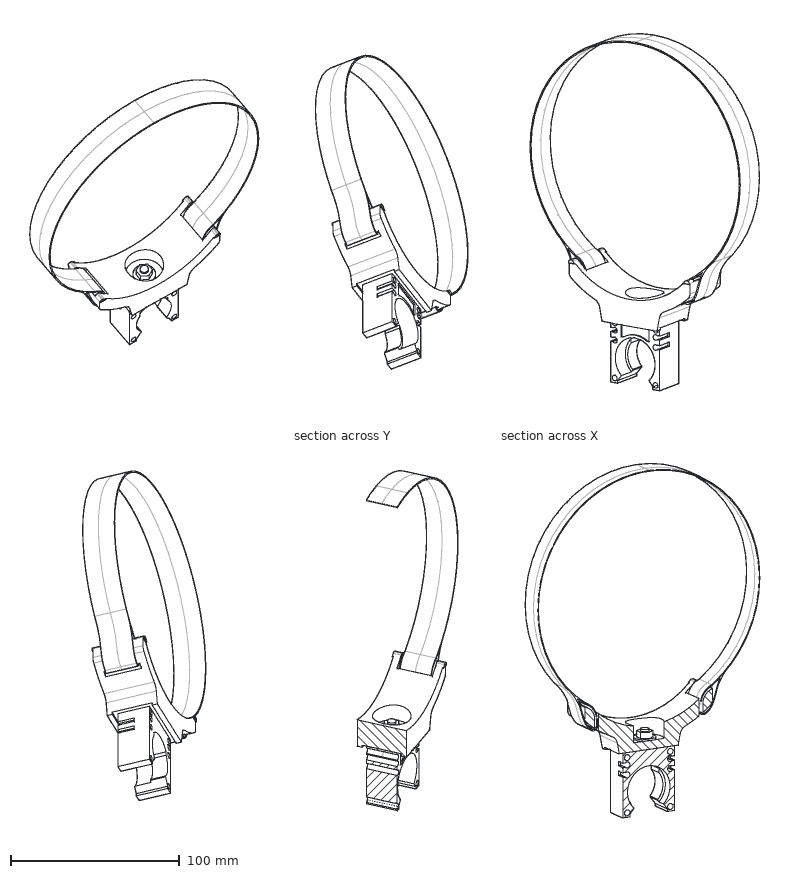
import cadquery as cq
import math

RING_OUTER_R = 75.8
RING_TOP_Z = 211.5
RING_CENTER_Z = RING_TOP_Z - RING_OUTER_R
STRAP_WIDTH = 20.0
STRAP_THICKNESS = 0.8
RING_END_Y = 42.7
RETURN_Y = 56.2
CROTCH_Y = 48.5
STRAP_SLOT_Y = 34.9
STRAP_BEND_Z = 63.2
STRAP_HOOK_Z = 58.0

SADDLE_WIDTH = 32.0
CRADLE_BOTTOM_Z = 54.8
CRADLE_R = 55.5
CRADLE_THICKNESS = 8.9
CRADLE_BACK_R = CRADLE_R + CRADLE_THICKNESS
CRADLE_CENTER_Z = CRADLE_BOTTOM_Z + CRADLE_R
SADDLE_HALF_LENGTH = 43.5
HORN_TOP_Z = 72.7
HORN_TIP_R = 1.5
HORN_CORNER_R = 4.2
FOOT_BOTTOM_Z = 38.3
FOOT_HALF_LENGTH = 19.9
SHOULDER_Y = 22.2
SHOULDER_FILLET_R = 6.0
LIP_WIDTH = 33.2
LIP_HEIGHT = 2.1
CHANNEL_WIDTH = 25.4
CHANNEL_DEPTH = 1.5
CHANNEL_TOP_Z = FOOT_BOTTOM_Z + CHANNEL_DEPTH
SLOT_WIDTH = 22.8
SLOT_INNER_Y = 34.3
SLOT_OUTER_Y = 36.8
SLOT_BEND_Z = 65.0
SLOT_REST_Z = 71.7
WELL_R = 11.5
WELL_FLOOR_Z = 45.5

CLIP_WIDTH = 20.0
CLIP_HALF_LENGTH = 17.65
CLIP_FACE_X = -CLIP_WIDTH / 2
BORE_Z = 15.5
BORE_R = 14.27
LEDGE_R = 12.58
STEP_X = 0.5
JAW_TIP_Y = 9.0
JAW_TIP_Z = 6.1
JAW_FOOT_Y = 12.7
JAW_FOOT_Z = 1.7
POCKET_HALF_LENGTH = 10.05
POCKET_BOTTOM_Z = 29.0
POCKET_TOP_Z = 37.8
POCKET_DEPTH = 0.8
BORE_RIM_R = 16.0
SIDE_HOLE_R = 1.7
SIDE_HOLE_Y = 14.7
SIDE_HOLE_ZS = (36.8, 32.4, 26.2, 3.0)
SLIT_ZS = (32.4, 26.5)
SLIT_HEIGHT = 2.5

BOLT_R = 2.5
BOLT_BOTTOM_Z = 32.8
BOLT_TOP_Z = 51.5
WASHER_R = 6.8
WASHER_THICKNESS = 1.0
WASHER_TOP_Z = WELL_FLOOR_Z + WASHER_THICKNESS
NUT_FLATS = 8.5
NUT_HEIGHT = 3.8

FAR = 126.9


def on_side():
    """A workplane whose first axis is Y and second axis is Z."""
    return cq.Workplane("YZ")


def extrude_x(profile, width):
    """Extrude a Y-Z profile to the given width, centred on X = 0."""
    return profile.extrude(width / 2, both=True)


def disc(radius, bottom_z, top_z):
    """An upright cylinder on the Z axis."""
    return cq.Workplane(origin=(0, 0, bottom_z)).circle(radius).extrude(top_z - bottom_z)


def with_mirror(shape):
    """A +Y shape joined with its mirror image at -Y."""
    return shape.union(shape.mirror("XZ"))


def arc_point(y, radius, center_z):
    """The point at a given Y on the lower half of a circle centred on Y = 0."""
    return (y, center_z - math.sqrt(radius**2 - y**2))


def mirrored(point):
    return (-point[0], point[1])


RING_INNER_R = RING_OUTER_R - STRAP_THICKNESS
RING_END = arc_point(RING_END_Y, RING_INNER_R, RING_CENTER_Z)
RETURN_POINT = arc_point(RETURN_Y, RING_OUTER_R, RING_CENTER_Z)
RETURN_PATH = [RETURN_POINT, (51.2, 79.5), (47.5, 73.4), (45.7, 67.2), (43.3, 61.1), (39.0, 56.7)]


def filled_strap():
    """The whole strap with both looped ends still filled in."""
    slot_top = (STRAP_SLOT_Y, STRAP_BEND_Z)
    slot_bottom = (STRAP_SLOT_Y, STRAP_HOOK_Z)
    hook_middle = (36.2, 56.5)
    bend_middle = (37.0, 69.5)
    return_path_back = [mirrored(point) for point in reversed(RETURN_PATH)]
    return extrude_x(
        on_side()
        .moveTo(0, RING_TOP_Z)
        .threePointArc((RING_OUTER_R, RING_CENTER_Z), RETURN_POINT)
        .spline(RETURN_PATH[1:], includeCurrent=True)
        .threePointArc(hook_middle, slot_bottom)
        .lineTo(*slot_top)
        .threePointArc(bend_middle, RING_END)
        .threePointArc((0, RING_TOP_Z - STRAP_THICKNESS), mirrored(RING_END))
        .threePointArc(mirrored(bend_middle), mirrored(slot_top))
        .lineTo(*mirrored(slot_bottom))
        .threePointArc(mirrored(hook_middle), return_path_back[0])
        .spline(return_path_back[1:], includeCurrent=True)
        .threePointArc((-RING_OUTER_R, RING_CENTER_Z), (0, RING_TOP_Z))
        .close(),
        STRAP_WIDTH,
    )


def loop_opening():
    """The space inside the looped end, one strap thickness in from its outside."""
    inside_slot_y = STRAP_SLOT_Y + STRAP_THICKNESS
    crotch = arc_point(CROTCH_Y, RING_OUTER_R, RING_CENTER_Z)
    bend_top = arc_point(RING_END_Y, RING_OUTER_R, RING_CENTER_Z)
    band_middle = arc_point((CROTCH_Y + RING_END_Y) / 2, RING_OUTER_R, RING_CENTER_Z)
    return extrude_x(
        on_side()
        .moveTo(*crotch)
        .spline([(46.7, 73.5), (44.8, 67.5), (42.7, 61.7), (38.5, 57.5)], includeCurrent=True)
        .threePointArc((36.8, 57.3), (inside_slot_y, STRAP_HOOK_Z))
        .lineTo(inside_slot_y, STRAP_BEND_Z)
        .threePointArc((37.6, 69.0), bend_top)
        .threePointArc(band_middle, crotch)
        .close(),
        STRAP_WIDTH,
    )


def make_strap():
    opening = loop_opening()
    return filled_strap().cut(opening).cut(opening.mirror("XZ"))


SHOULDER = arc_point(SHOULDER_Y, CRADLE_BACK_R, CRADLE_CENTER_Z)
BACK_MIDDLE = arc_point((SHOULDER_Y + SADDLE_HALF_LENGTH) / 2, CRADLE_BACK_R, CRADLE_CENTER_Z)
BACK_END = arc_point(SADDLE_HALF_LENGTH, CRADLE_BACK_R, CRADLE_CENTER_Z)
HORN_OUTER = (SADDLE_HALF_LENGTH, HORN_TOP_Z)
HORN_INNER = (math.sqrt(CRADLE_R**2 - (CRADLE_CENTER_Z - HORN_TOP_Z) ** 2), HORN_TOP_Z)


def edges_at(point):
    """Selects the edges along X through a profile point and through its mirror image."""
    reach = 0.2
    boxes = [
        cq.selectors.BoxSelector(
            (-FAR, y - reach, point[1] - reach),
            (FAR, y + reach, point[1] + reach),
        )
        for y in (point[0], -point[0])
    ]
    return boxes[0] + boxes[1]


def saddle_block(width):
    """The saddle outline with its rounded corners, without any cuts."""
    profile = (
        on_side()
        .moveTo(-FOOT_HALF_LENGTH, FOOT_BOTTOM_Z)
        .lineTo(FOOT_HALF_LENGTH, FOOT_BOTTOM_Z)
        .lineTo(*SHOULDER)
        .threePointArc(BACK_MIDDLE, BACK_END)
        .lineTo(*HORN_OUTER)
        .lineTo(*HORN_INNER)
        .threePointArc((0, CRADLE_BOTTOM_Z), mirrored(HORN_INNER))
        .lineTo(*mirrored(HORN_OUTER))
        .lineTo(*mirrored(BACK_END))
        .threePointArc(mirrored(BACK_MIDDLE), mirrored(SHOULDER))
        .close()
    )
    block = extrude_x(profile, width)
    roundings = (
        (SHOULDER, SHOULDER_FILLET_R),
        (BACK_END, HORN_CORNER_R),
        (HORN_OUTER, HORN_TIP_R),
        (HORN_INNER, HORN_TIP_R),
    )
    for point, radius in roundings:
        block = block.edges(edges_at(point)).fillet(radius)
    return block


def horn_lips():
    """The horn tips, slightly wider than the rest of the saddle."""
    tips = cq.Workplane(origin=(0, 0, HORN_TOP_Z - LIP_HEIGHT / 2)).box(LIP_WIDTH, FAR, LIP_HEIGHT)
    return saddle_block(LIP_WIDTH).intersect(tips)


def strap_slots():
    """Upright slots through both ends, each with a rounded rest over the horn."""
    rest_bend = (38.7, 68.7)
    slot = extrude_x(
        on_side()
        .moveTo(SLOT_INNER_Y, FOOT_BOTTOM_Z)
        .lineTo(SLOT_OUTER_Y, FOOT_BOTTOM_Z)
        .lineTo(SLOT_OUTER_Y, SLOT_BEND_Z)
        .threePointArc(rest_bend, (SADDLE_HALF_LENGTH, SLOT_REST_Z))
        .lineTo(SADDLE_HALF_LENGTH, FAR)
        .lineTo(SLOT_INNER_Y, FAR)
        .close(),
        SLOT_WIDTH,
    )
    return with_mirror(slot)


def make_saddle():
    channel = cq.Workplane(origin=(0, 0, FOOT_BOTTOM_Z)).box(CHANNEL_WIDTH, FAR, 2 * CHANNEL_DEPTH)
    return (
        saddle_block(SADDLE_WIDTH)
        .union(horn_lips())
        .cut(channel)
        .cut(strap_slots())
        .cut(disc(WELL_R, WELL_FLOOR_Z, FAR))
        .cut(disc(BOLT_R, FOOT_BOTTOM_Z, FAR))
    )


def bore_cylinder(radius, width=CLIP_WIDTH):
    """A cylinder along the pipe axis, starting at the -X face of the clip."""
    return (
        on_side()
        .workplane(offset=CLIP_FACE_X)
        .center(0, BORE_Z)
        .circle(radius)
        .extrude(width)
    )


def stepped_bore():
    """Wide up to the step, then narrow, except for the wide relief along the top."""
    relief = cq.Workplane().box(CLIP_WIDTH, 2 * POCKET_HALF_LENGTH, BORE_R, centered=(True, True, False))
    relief = relief.translate((0, 0, BORE_Z)).intersect(bore_cylinder(BORE_R))
    wide_part = bore_cylinder(BORE_R, STEP_X - CLIP_FACE_X)
    return bore_cylinder(LEDGE_R).union(wide_part).union(relief)


def jaw_mouth():
    """The opening between the jaws, flared towards the bottom."""
    half = [(JAW_TIP_Y, BORE_Z), (JAW_TIP_Y, JAW_TIP_Z), (JAW_FOOT_Y, JAW_FOOT_Z), (JAW_FOOT_Y, 0)]
    other_half = [mirrored(point) for point in reversed(half)]
    return extrude_x(on_side().polyline(half + other_half).close(), CLIP_WIDTH)


def face_pocket():
    """A shallow rectangle in the -X face that stops at a rim around the bore."""
    height = POCKET_TOP_Z - POCKET_BOTTOM_Z
    pocket = cq.Workplane().box(
        POCKET_DEPTH, 2 * POCKET_HALF_LENGTH, height, centered=(False, True, False)
    )
    return pocket.translate((CLIP_FACE_X, 0, POCKET_BOTTOM_Z)).cut(bore_cylinder(BORE_RIM_R))


def side_holes():
    centers = [(SIDE_HOLE_Y, z) for z in SIDE_HOLE_ZS]
    return with_mirror(extrude_x(on_side().pushPoints(centers).circle(SIDE_HOLE_R), CLIP_WIDTH))


def side_slits():
    """Slits from the long sides into the upper side holes, open at the -X face."""
    slits = (
        cq.Workplane()
        .pushPoints([(CLIP_FACE_X, SIDE_HOLE_Y)])
        .box(STEP_X - CLIP_FACE_X, CLIP_HALF_LENGTH - SIDE_HOLE_Y, SLIT_HEIGHT, centered=(False, False, True))
    )
    upper, lower = (slits.translate((0, 0, z)) for z in SLIT_ZS)
    return with_mirror(upper.union(lower))


def make_clip():
    block = cq.Workplane().box(
        CLIP_WIDTH, 2 * CLIP_HALF_LENGTH, CHANNEL_TOP_Z, centered=(True, True, False)
    )
    return (
        block.cut(stepped_bore())
        .cut(jaw_mouth())
        .cut(face_pocket())
        .cut(side_holes())
        .cut(side_slits())
        .cut(disc(BOLT_R, BOLT_BOTTOM_Z, FAR))
    )


def make_bolt():
    return disc(BOLT_R, BOLT_BOTTOM_Z, BOLT_TOP_Z)


def make_washer():
    return disc(WASHER_R, WELL_FLOOR_Z, WASHER_TOP_Z).cut(make_bolt())


def make_nut():
    across_corners = NUT_FLATS / math.cos(math.pi / 6)
    nut = cq.Workplane(origin=(0, 0, WASHER_TOP_Z)).polygon(6, across_corners).extrude(NUT_HEIGHT)
    return nut.cut(make_bolt())


strap = make_strap()
saddle = make_saddle()
clip = make_clip()
bolt = make_bolt()
washer = make_washer()
nut = make_nut()

result = cq.Compound.makeCompound(
    [strap.val(), saddle.val(), clip.val(), bolt.val(), washer.val(), nut.val()]
)